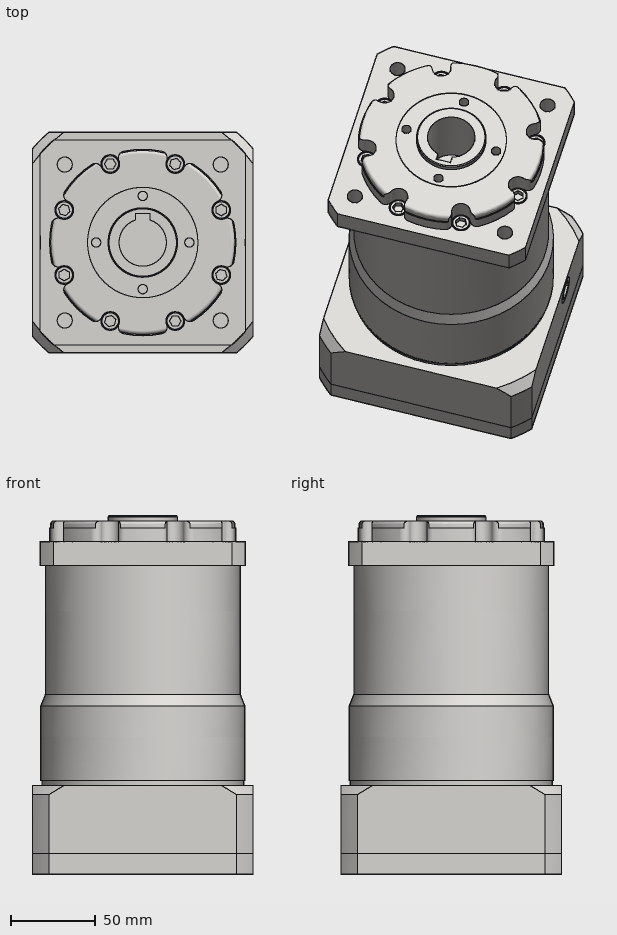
import cadquery as cq
import math


ADAPTER_TOP = 12.2
INPUT_TOP = 52.3
RELIEF_TOP = 55.0
LOWER_JOINT = 80.5
SHOULDER_BOTTOM = 99.0
SHOULDER_TOP = 106.0
UPPER_JOINT = 154.9
FLANGE_BOTTOM = 181.7
FLANGE_TOP = 195.8
LEDGE_LEVEL = 203.8
PILOT_TOP = 208.0
SHAFT_TOP = 211.0

INPUT_SIDE = 130.0
INPUT_CORNER_RADIUS = 85.2
INPUT_CORNER_BEVEL = 5.5

PLUG_RADIUS = 7.8
PLUG_HOLE_RADIUS = 8.0
PLUG_LENGTH = 10.5
PLUG_Y = -18.0
PLUG_Z = 41.8
PLUG_HEX_FLATS = 10.1
PLUG_HEX_DEPTH = 4.9

LOWER_RADIUS = 60.1
RELIEF_RADIUS = 59.5
UPPER_RADIUS = 57.4

FLANGE_SIDE = 120.7
FLANGE_CORNER_RADIUS = 80.0
FLANGE_HOLE_RADIUS = 4.5
FLANGE_HOLE_SPACING = 91.8

LOBE_COUNT = 8
LOBE_RADIUS = 54.9
LOBE_CORNER_RADIUS = 4.0
LEDGE_WIDTH = 0.6
PILOT_EDGE_RADIUS = 2.1
SCALLOP_RADIUS = 5.5
SCALLOP_CIRCLE_RADIUS = 50.0
SEAL_RADIUS = 42.5

HEAD_RADIUS = 4.9
HEAD_GAP_DEPTH = 0.5
HEAD_HEX_FLATS = 6.0
HEAD_HEX_DEPTH = 3.2

HUB_RADIUS = 32.5
HUB_SET_BACK = 0.5
HUB_THICKNESS = 10.5
COLLAR_RADIUS = 22.5
SHAFT_RADIUS = 20.5
SHAFT_CHAMFER = 0.6
SHAFT_LENGTH = 63.3
HUB_HOLE_COUNT = 4
HUB_HOLE_RADIUS = 2.7
HUB_HOLE_CIRCLE_RADIUS = 27.5
HUB_HOLE_DEPTH = 8.5
BORE_RADIUS = 14.0
BORE_DEPTH = 42.2
KEYWAY_WIDTH = 8.7
KEYWAY_REACH = 17.0

LOBE_PITCH = 2 * math.pi / LOBE_COUNT
HUB_TOP = PILOT_TOP - HUB_SET_BACK
HUB_BOTTOM = HUB_TOP - HUB_THICKNESS
SHAFT_BOTTOM = SHAFT_TOP - SHAFT_LENGTH


def level(z):
    return cq.Workplane("XY", origin=(0, 0, z))


def cylinder(radius, bottom, top):
    return level(bottom).circle(radius).extrude(top - bottom)


def square_block(side, bottom, top):
    return level(bottom).rect(side, side).extrude(top - bottom)


def turned(profile):
    """Solid of revolution about Z from (radius, z) points."""
    return cq.Workplane("XZ").polyline(profile).close().revolve(360, (0, 0), (0, 1), clean=False)


def polar(radius, angle):
    return (radius * math.cos(angle), radius * math.sin(angle))


def toward(start, target, distance):
    """Point at the given distance from start in the direction of target."""
    share = distance / math.dist(start, target)
    return (start[0] + share * (target[0] - start[0]), start[1] + share * (target[1] - start[1]))


def hex_diameter(flats):
    """Corner-to-corner size of a hexagon from its size across flats."""
    return flats / math.cos(math.pi / 6)


def make_adapter():
    block = square_block(INPUT_SIDE, 0, ADAPTER_TOP)
    return block.intersect(cylinder(INPUT_CORNER_RADIUS, 0, ADAPTER_TOP))


def plug_plane():
    return cq.Workplane("YZ", origin=(-INPUT_SIDE / 2, PLUG_Y, PLUG_Z))


def make_input_housing():
    corner_limit = cylinder(INPUT_CORNER_RADIUS, ADAPTER_TOP, INPUT_TOP)
    corner_limit = corner_limit.faces(">Z").chamfer(INPUT_CORNER_BEVEL)
    housing = square_block(INPUT_SIDE, ADAPTER_TOP, INPUT_TOP).intersect(corner_limit)
    return housing.cut(plug_plane().circle(PLUG_HOLE_RADIUS).extrude(PLUG_LENGTH))


def make_plug():
    body = plug_plane().circle(PLUG_RADIUS).extrude(PLUG_LENGTH)
    socket = plug_plane().transformed(rotate=(0, 0, 90)).polygon(6, hex_diameter(PLUG_HEX_FLATS))
    return body.cut(socket.extrude(PLUG_HEX_DEPTH))


def make_barrel():
    return turned([
        (0, INPUT_TOP),
        (RELIEF_RADIUS, INPUT_TOP),
        (RELIEF_RADIUS, RELIEF_TOP),
        (LOWER_RADIUS, RELIEF_TOP),
        (LOWER_RADIUS, LOWER_JOINT),
        (LOWER_RADIUS, SHOULDER_BOTTOM),
        (UPPER_RADIUS, SHOULDER_TOP),
        (UPPER_RADIUS, UPPER_JOINT),
        (UPPER_RADIUS, FLANGE_BOTTOM),
        (0, FLANGE_BOTTOM),
    ])


def make_flange():
    flange = square_block(FLANGE_SIDE, FLANGE_BOTTOM, FLANGE_TOP)
    flange = flange.intersect(cylinder(FLANGE_CORNER_RADIUS, FLANGE_BOTTOM, FLANGE_TOP))
    holes = level(FLANGE_BOTTOM).rect(FLANGE_HOLE_SPACING, FLANGE_HOLE_SPACING, forConstruction=True)
    holes = holes.vertices().circle(FLANGE_HOLE_RADIUS).extrude(FLANGE_TOP - FLANGE_BOTTOM)
    return flange.cut(holes)


def lobe_corner(scallop_angle, side):
    """Rounded lobe corner beside a scallop: its ends on the rim and on the scallop, and its middle."""
    center_radius = LOBE_RADIUS - LOBE_CORNER_RADIUS
    gap = SCALLOP_RADIUS + LOBE_CORNER_RADIUS
    offset = math.acos(
        (center_radius**2 + SCALLOP_CIRCLE_RADIUS**2 - gap**2) / (2 * center_radius * SCALLOP_CIRCLE_RADIUS)
    )
    corner_angle = scallop_angle + side * offset
    center = polar(center_radius, corner_angle)
    on_rim = polar(LOBE_RADIUS, corner_angle)
    on_scallop = toward(center, polar(SCALLOP_CIRCLE_RADIUS, scallop_angle), LOBE_CORNER_RADIUS)
    chord_middle = ((on_rim[0] + on_scallop[0]) / 2, (on_rim[1] + on_scallop[1]) / 2)
    middle = toward(center, chord_middle, LOBE_CORNER_RADIUS)
    return on_rim, middle, on_scallop


def lobed_outline():
    start = lobe_corner(-LOBE_PITCH / 2, 1)[0]
    outline = level(FLANGE_TOP).moveTo(*start)
    for index in range(LOBE_COUNT):
        lobe_angle = index * LOBE_PITCH
        scallop_angle = lobe_angle + LOBE_PITCH / 2
        near_rim, near_middle, near_scallop = lobe_corner(scallop_angle, -1)
        far_rim, far_middle, far_scallop = lobe_corner(scallop_angle, 1)
        scallop_floor = polar(SCALLOP_CIRCLE_RADIUS - SCALLOP_RADIUS, scallop_angle)
        outline = outline.threePointArc(polar(LOBE_RADIUS, lobe_angle), near_rim)
        outline = outline.threePointArc(near_middle, near_scallop)
        outline = outline.threePointArc(scallop_floor, far_scallop)
        outline = outline.threePointArc(far_middle, far_rim)
    return outline.close()


def make_pilot():
    lobes = lobed_outline().extrude(PILOT_TOP - FLANGE_TOP)
    cap_radius = LOBE_RADIUS - LEDGE_WIDTH
    edge_start = PILOT_TOP - PILOT_EDGE_RADIUS
    edge_end = cap_radius - PILOT_EDGE_RADIUS
    arc_reach = PILOT_EDGE_RADIUS * math.cos(math.pi / 4)
    clear_radius = LOBE_RADIUS + LEDGE_WIDTH
    limit = (
        cq.Workplane("XZ")
        .moveTo(0, FLANGE_TOP)
        .lineTo(clear_radius, FLANGE_TOP)
        .lineTo(clear_radius, LEDGE_LEVEL)
        .lineTo(cap_radius, LEDGE_LEVEL)
        .lineTo(cap_radius, edge_start)
        .threePointArc((edge_end + arc_reach, edge_start + arc_reach), (edge_end, PILOT_TOP))
        .lineTo(SEAL_RADIUS, PILOT_TOP)
        .lineTo(0, PILOT_TOP)
        .close()
        .revolve(360, (0, 0), (0, 1), clean=False)
    )
    return lobes.intersect(limit, clean=False)


def screw_head_cutter():
    """Gap ring and hexagon socket of one screw head, at the first scallop past +Y."""
    x, y = polar(SCALLOP_CIRCLE_RADIUS, math.pi / 2 + LOBE_PITCH / 2)
    plane = level(FLANGE_TOP).center(x, y)
    gap_ring = plane.circle(SCALLOP_RADIUS).circle(HEAD_RADIUS).extrude(-HEAD_GAP_DEPTH)
    socket = plane.polygon(6, hex_diameter(HEAD_HEX_FLATS)).extrude(-HEAD_HEX_DEPTH)
    return gap_ring.add(socket).combine()


def make_gear_case():
    case = make_barrel().union(make_flange(), clean=False).union(make_pilot(), clean=False)
    cutter = screw_head_cutter()
    for index in range(LOBE_COUNT):
        turn = math.degrees(index * LOBE_PITCH)
        case = case.cut(cutter.rotate((0, 0, 0), (0, 0, 1), turn), clean=False)
    hub_seat = cylinder(HUB_RADIUS, HUB_BOTTOM, PILOT_TOP)
    shaft_seat = cylinder(COLLAR_RADIUS, SHAFT_BOTTOM, PILOT_TOP)
    return case.cut(hub_seat, clean=False).cut(shaft_seat, clean=False)


def make_output_shaft():
    shaft = turned([
        (0, SHAFT_BOTTOM),
        (COLLAR_RADIUS, SHAFT_BOTTOM),
        (COLLAR_RADIUS, HUB_BOTTOM),
        (HUB_RADIUS, HUB_BOTTOM),
        (HUB_RADIUS, HUB_TOP),
        (COLLAR_RADIUS, HUB_TOP),
        (SHAFT_RADIUS, HUB_TOP),
        (SHAFT_RADIUS, SHAFT_TOP - SHAFT_CHAMFER),
        (SHAFT_RADIUS - SHAFT_CHAMFER, SHAFT_TOP),
        (0, SHAFT_TOP),
    ])
    bore = level(SHAFT_TOP).circle(BORE_RADIUS).extrude(-BORE_DEPTH)
    keyway = level(SHAFT_TOP).center(0, KEYWAY_REACH / 2).rect(KEYWAY_WIDTH, KEYWAY_REACH).extrude(-BORE_DEPTH)
    holes = level(HUB_TOP).polarArray(HUB_HOLE_CIRCLE_RADIUS, 0, 360, HUB_HOLE_COUNT)
    holes = holes.circle(HUB_HOLE_RADIUS).extrude(-HUB_HOLE_DEPTH)
    return shaft.cut(bore.union(keyway), clean=False).cut(holes, clean=False)


adapter = make_adapter()
input_housing = make_input_housing()
plug = make_plug()
gear_case = make_gear_case()
output_shaft = make_output_shaft()

result = cq.Compound.makeCompound([
    adapter.solids().val(),
    input_housing.solids().val(),
    plug.solids().val(),
    gear_case.solids().val(),
    output_shaft.solids().val(),
])